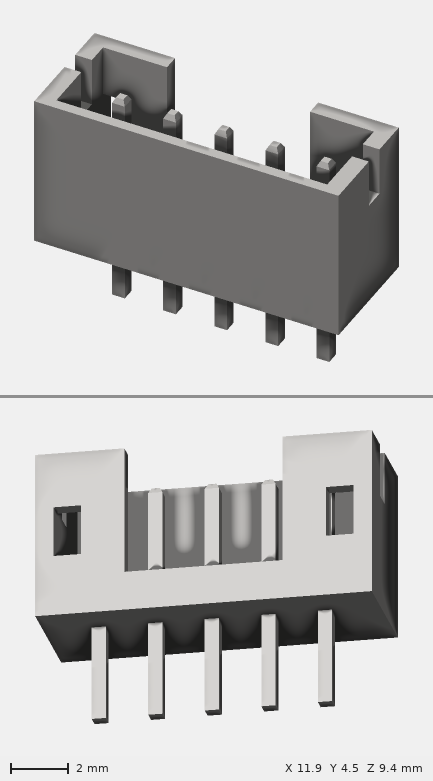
import cadquery as cq

LENGTH = 11.9
DEPTH = 4.5
HEIGHT = 6.0
END_WALL = 0.65
REAR_WALL = 0.61
FRONT_WALL = 0.4
FLOOR = 1.4

REAR_GAP_WIDTH = 5.59
SLOT_WIDTH = 0.8
SLOT_DEPTH = 1.9
SLOT_FROM_REAR = 1.44
WINDOW_INNER_EDGE = 4.33
WINDOW_DROP = 2.0
WINDOW_HEIGHT = 1.81

PIN_COUNT = 5
PIN_PITCH = 2.0
PIN_WIDTH = 0.5
PIN_FROM_REAR = 1.69
PIN_BELOW = 3.4
PIN_TOP_DROP = 0.95
TIP_LENGTH = 0.2
TIP_WIDTH = 0.29

REAR_Y = DEPTH / 2
CAVITY_REAR_Y = REAR_Y - REAR_WALL
CAVITY_FRONT_Y = -DEPTH / 2 + FRONT_WALL
CAVITY_HALF_LENGTH = LENGTH / 2 - END_WALL


def block(x_range, y_range, z_range):
    """Box spanning the given (low, high) ranges."""
    ranges = (x_range, y_range, z_range)
    sizes = [high - low for low, high in ranges]
    corner = tuple(low for low, high in ranges)
    return cq.Workplane("XY").box(*sizes, centered=False).translate(corner)


def make_housing():
    half_length = LENGTH / 2
    housing = block((-half_length, half_length), (-REAR_Y, REAR_Y), (0, HEIGHT))

    cavity_x = (-CAVITY_HALF_LENGTH, CAVITY_HALF_LENGTH)
    cavity_y = (CAVITY_FRONT_Y, CAVITY_REAR_Y)
    housing = housing.cut(block(cavity_x, cavity_y, (FLOOR, HEIGHT)))

    gap_x = (-REAR_GAP_WIDTH / 2, REAR_GAP_WIDTH / 2)
    rear_wall_y = (CAVITY_REAR_Y, REAR_Y)
    housing = housing.cut(block(gap_x, rear_wall_y, (FLOOR, HEIGHT)))

    slot_rear_y = REAR_Y - SLOT_FROM_REAR
    slot_y = (slot_rear_y - SLOT_WIDTH, slot_rear_y)
    slot_z = (HEIGHT - SLOT_DEPTH, HEIGHT)
    housing = housing.cut(block((-half_length, half_length), slot_y, slot_z))

    window_top_z = HEIGHT - WINDOW_DROP
    window_z = (window_top_z - WINDOW_HEIGHT, window_top_z)
    window = block((WINDOW_INNER_EDGE, CAVITY_HALF_LENGTH), rear_wall_y, window_z)
    return housing.cut(window).cut(window.mirror("YZ"))


def make_pin():
    """Square pin centred on the Z axis, with a tapered upper tip."""
    shoulder_z = HEIGHT - PIN_TOP_DROP - TIP_LENGTH
    half_width = PIN_WIDTH / 2
    shank_range = (-half_width, half_width)
    shank = block(shank_range, shank_range, (-PIN_BELOW, shoulder_z))
    tip = (
        cq.Workplane("XY", origin=(0, 0, shoulder_z))
        .rect(PIN_WIDTH, PIN_WIDTH)
        .workplane(offset=TIP_LENGTH)
        .rect(TIP_WIDTH, TIP_WIDTH)
        .loft(ruled=True)
    )
    return shank.union(tip)


result = make_housing()
pin = make_pin()
for index in range(PIN_COUNT):
    pin_x = (index - (PIN_COUNT - 1) / 2) * PIN_PITCH
    result = result.union(pin.translate((pin_x, REAR_Y - PIN_FROM_REAR, 0)))